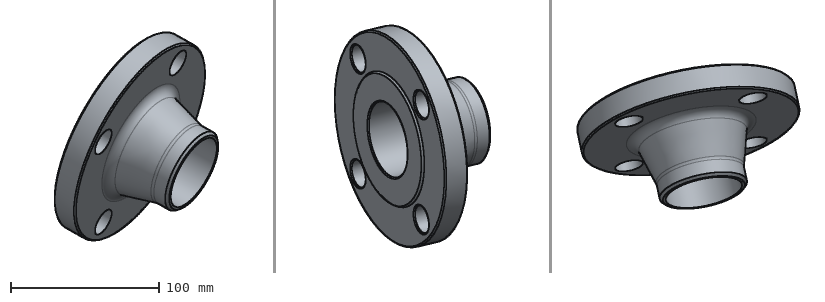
import cadquery as cq
import math

total_length = 64.0
flange_diameter = 150.0
flange_back = 19.6
flange_chamfer = 1.0

raised_face_diameter = 94.2
raised_face_height = 1.6
raised_face_taper = 1.2

weld_end_diameter = 60.3
weld_end_start = 52.5
weld_bevel = 2.0

hub_angle = math.radians(15.3)
root_radius = 7.6
neck_radius = 8.4

bore_diameter = 52.5
bore_chamfer = 0.9
bolt_hole_diameter = 19.0
bolt_hole_chamfer = 0.9
bolt_circle_diameter = 120.6
bolt_count = 4

flange_radius = flange_diameter / 2
raised_face_radius = raised_face_diameter / 2
weld_end_radius = weld_end_diameter / 2


def arc_point(center, radius, angle):
    """Point on an arc, with the angle measured from the radial direction toward +X."""
    return (center[0] + radius * math.sin(angle), center[1] + radius * math.cos(angle))


neck_center = (weld_end_start, weld_end_radius + neck_radius)
neck_start = arc_point(neck_center, -neck_radius, hub_angle)
neck_middle = arc_point(neck_center, -neck_radius, hub_angle / 2)
neck_end = (weld_end_start, weld_end_radius)

root_end_x = flange_back + root_radius * (1 - math.sin(hub_angle))
root_end_r = neck_start[1] + (neck_start[0] - root_end_x) * math.tan(hub_angle)
root_center = (flange_back + root_radius, root_end_r + root_radius * math.cos(hub_angle))
root_start = (flange_back, root_center[1])
root_middle = arc_point(root_center, -root_radius, (hub_angle + math.pi / 2) / 2)
root_end = (root_end_x, root_end_r)


def make_body():
    """Solid of revolution carrying the raised face, flange plate, hub and weld end."""
    return (
        cq.Workplane("XY")
        .lineTo(0, raised_face_radius - raised_face_taper)
        .lineTo(raised_face_height, raised_face_radius)
        .lineTo(raised_face_height, flange_radius - flange_chamfer)
        .lineTo(raised_face_height + flange_chamfer, flange_radius)
        .lineTo(flange_back - flange_chamfer, flange_radius)
        .lineTo(flange_back, flange_radius - flange_chamfer)
        .lineTo(*root_start)
        .threePointArc(root_middle, root_end)
        .lineTo(*neck_start)
        .threePointArc(neck_middle, neck_end)
        .lineTo(total_length - weld_bevel, weld_end_radius)
        .lineTo(total_length, weld_end_radius - weld_bevel)
        .lineTo(total_length, 0)
        .close()
        .revolve(360, (0, 0, 0), (1, 0, 0))
    )


def make_hole_cutter(diameter, chamfer, start, end):
    """Cutter along X for a hole with a chamfered mouth at its start."""
    radius = diameter / 2
    return (
        cq.Workplane("XY")
        .moveTo(start, 0)
        .lineTo(start, radius + chamfer)
        .lineTo(start + chamfer, radius)
        .lineTo(end, radius)
        .lineTo(end, 0)
        .close()
        .revolve(360, (0, 0, 0), (1, 0, 0))
    )


bore = make_hole_cutter(bore_diameter, bore_chamfer, 0, total_length)
result = make_body().cut(bore)

bolt_hole = make_hole_cutter(
    bolt_hole_diameter, bolt_hole_chamfer, raised_face_height, flange_back
).translate((0, bolt_circle_diameter / 2, 0))
bolt_pitch = 360 / bolt_count
for index in range(bolt_count):
    angle = bolt_pitch * (index + 0.5)
    result = result.cut(bolt_hole.rotate((0, 0, 0), (1, 0, 0), angle))